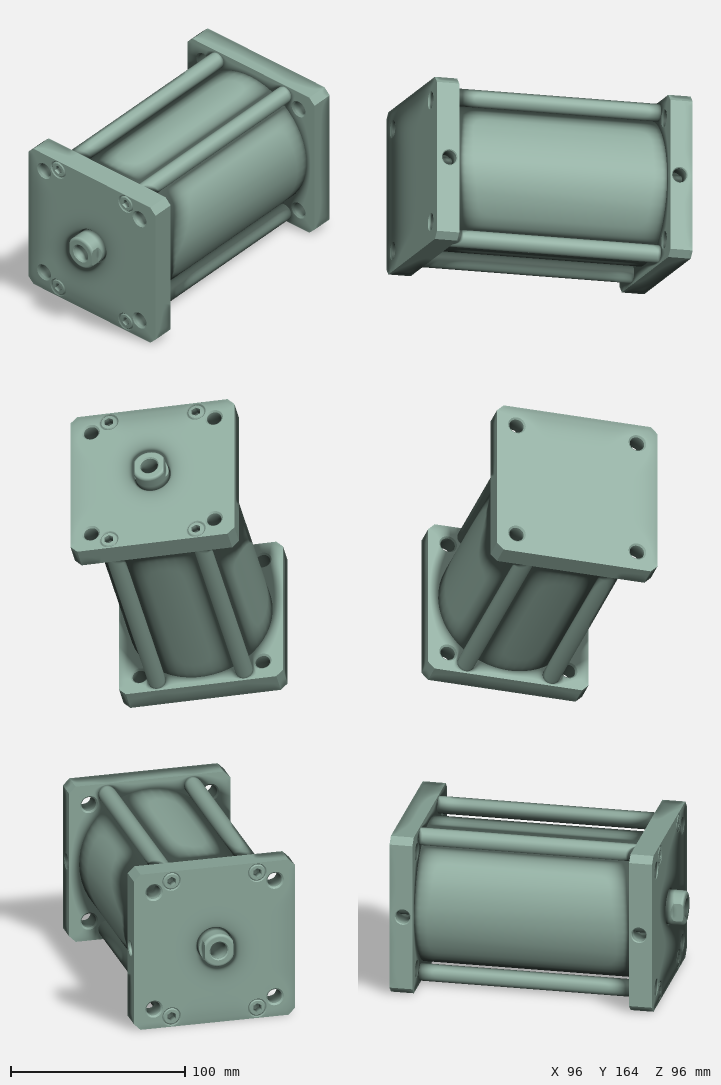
import cadquery as cq
import math


OVERALL_LENGTH = 164.0
ROD_PROTRUSION = 10.0
PLATE_SIZE = 96.0
PLATE_THICKNESS = 13.5
PLATE_CORNER = 4.0

TUBE_DIAMETER = 84.0
TUBE_BORE = 80.0

ROD_DIAMETER = 20.0
ROD_END_FILLET = 1.6
ROD_FLATS_WIDTH = 16.9
ROD_COLLAR_LENGTH = 2.8
ROD_BORE = 10.2
ROD_BORE_CHAMFER = 0.7
ROD_BORE_DEPTH = 19.7
ROD_BORE_TIP_ANGLE = 160.0

ROD_HOLE = 20.7
ROD_HOLE_MOUTH = 22.0

MOUNT_PITCH = 72.0
MOUNT_HOLE = 8.5
MOUNT_COUNTERSINK = 10.5

TIE_PITCH_X = 51.0
TIE_PITCH_Z = 83.5
TIE_SHAFT_DIAMETER = 10.2
TIE_END_DIAMETER = 10.0
TIE_SHAFT_GAP = 0.5
TIE_CHAMFER = 0.7
TIE_COUNTERSINK = 11.3
SOCKET_SIDES = 6
SOCKET_FLATS = 5.0
SOCKET_DEPTH = 5.0
SOCKET_TIP_ANGLE = 118.0

PORT_DIAMETER = 8.4
PORT_COUNTERSINK = 9.5
PORT_FROM_INNER_FACE = 5.7
PORT_DEPTH = 11.5
PORT_TIP_ANGLE = 118.0
PORT_BAR_DIAMETER = 5.0

BODY_LENGTH = OVERALL_LENGTH - ROD_PROTRUSION
FRONT_INNER_Y = PLATE_THICKNESS
REAR_INNER_Y = BODY_LENGTH - PLATE_THICKNESS
FRONT_PORT_Y = FRONT_INNER_Y - PORT_FROM_INNER_FACE
REAR_PORT_Y = REAR_INNER_Y + PORT_FROM_INNER_FACE

PLUS_X = cq.Vector(1, 0, 0)
PLUS_Y = cq.Vector(0, 1, 0)
MINUS_Y = cq.Vector(0, -1, 0)


def cylinder(diameter, start, length, direction=PLUS_Y):
    return cq.Workplane(cq.Solid.makeCylinder(diameter / 2, length, cq.Vector(*start), direction))


def cone(start_diameter, end_diameter, start, length, direction=PLUS_Y):
    solid = cq.Solid.makeCone(start_diameter / 2, end_diameter / 2, length, cq.Vector(*start), direction)
    return cq.Workplane(solid)


def drill_tip(diameter, start, angle, direction=PLUS_Y):
    height = diameter / 2 / math.tan(math.radians(angle / 2))
    return cone(diameter, 0, start, height, direction)


def corner_points(pitch_x, pitch_z):
    return [(sx * pitch_x / 2, sz * pitch_z / 2) for sx in (-1, 1) for sz in (-1, 1)]


MOUNT_POINTS = corner_points(MOUNT_PITCH, MOUNT_PITCH)
TIE_POINTS = corner_points(TIE_PITCH_X, TIE_PITCH_Z)


def countersunk_hole(x, z, y, diameter, mouth, both_ends):
    depth = (mouth - diameter) / 2
    hole = cylinder(diameter, (x, y, z), PLATE_THICKNESS)
    hole = hole.union(cone(mouth, diameter, (x, y, z), depth))
    if both_ends:
        hole = hole.union(cone(mouth, diameter, (x, y + PLATE_THICKNESS, z), depth, MINUS_Y))
    return hole


def port(y):
    side_x = -PLATE_SIZE / 2
    bottom_x = side_x + PORT_DEPTH
    countersink_depth = (PORT_COUNTERSINK - PORT_DIAMETER) / 2
    cut = cylinder(PORT_DIAMETER, (side_x, y, 0), PORT_DEPTH, PLUS_X)
    cut = cut.union(cone(PORT_COUNTERSINK, PORT_DIAMETER, (side_x, y, 0), countersink_depth, PLUS_X))
    cut = cut.union(drill_tip(PORT_DIAMETER, (bottom_x, y, 0), PORT_TIP_ANGLE, PLUS_X))
    bar = cylinder(PORT_BAR_DIAMETER, (bottom_x, y - PORT_DIAMETER / 2, 0), PORT_DIAMETER)
    return cut.cut(bar)


def make_plate(y):
    plate = cq.Workplane("XY").box(PLATE_SIZE, PLATE_THICKNESS, PLATE_SIZE)
    plate = plate.edges("|Y").chamfer(PLATE_CORNER).translate((0, y + PLATE_THICKNESS / 2, 0))
    for x, z in MOUNT_POINTS:
        plate = plate.cut(countersunk_hole(x, z, y, MOUNT_HOLE, MOUNT_COUNTERSINK, True))
    return plate


def make_front_plate():
    plate = make_plate(0).cut(port(FRONT_PORT_Y))
    for x, z in TIE_POINTS:
        plate = plate.cut(countersunk_hole(x, z, 0, TIE_END_DIAMETER, TIE_COUNTERSINK, False))
    return plate.cut(countersunk_hole(0, 0, 0, ROD_HOLE, ROD_HOLE_MOUTH, False))


def make_rear_plate():
    plate = make_plate(REAR_INNER_Y).cut(port(REAR_PORT_Y))
    for x, z in TIE_POINTS:
        plate = plate.cut(cylinder(TIE_END_DIAMETER, (x, REAR_INNER_Y, z), PLATE_THICKNESS))
    return plate


def make_tube():
    length = REAR_INNER_Y - FRONT_INNER_Y
    tube = cylinder(TUBE_DIAMETER, (0, FRONT_INNER_Y, 0), length)
    return tube.cut(cylinder(TUBE_BORE, (0, FRONT_INNER_Y, 0), length))


def make_rod():
    tip_y = -ROD_PROTRUSION
    rod = cylinder(ROD_DIAMETER, (0, tip_y, 0), REAR_INNER_Y - tip_y)
    rod = rod.faces("<Y").edges().fillet(ROD_END_FILLET)
    flat_depth = (ROD_DIAMETER - ROD_FLATS_WIDTH) / 2
    flat_end_y = -ROD_COLLAR_LENGTH - flat_depth
    for side in (-1, 1):
        flat_x = side * ROD_FLATS_WIDTH / 2
        outer_x = side * ROD_DIAMETER / 2
        cutter = (
            cq.Workplane("XY")
            .moveTo(flat_x, tip_y)
            .lineTo(flat_x, flat_end_y)
            .lineTo(outer_x, -ROD_COLLAR_LENGTH)
            .lineTo(outer_x, tip_y)
            .close()
            .extrude(ROD_DIAMETER / 2, both=True)
        )
        rod = rod.cut(cutter)
    mouth = ROD_BORE + 2 * ROD_BORE_CHAMFER
    rod = rod.cut(cylinder(ROD_BORE, (0, tip_y, 0), ROD_BORE_DEPTH))
    rod = rod.cut(cone(mouth, ROD_BORE, (0, tip_y, 0), ROD_BORE_CHAMFER))
    return rod.cut(drill_tip(ROD_BORE, (0, tip_y + ROD_BORE_DEPTH, 0), ROD_BORE_TIP_ANGLE))


def hex_socket():
    half_side_angle = 180 / SOCKET_SIDES
    corner_diameter = SOCKET_FLATS / math.cos(math.radians(half_side_angle))
    hexagon = (
        cq.Workplane("XZ")
        .polygon(SOCKET_SIDES, corner_diameter)
        .extrude(-PLATE_THICKNESS)
        .rotate((0, 0, 0), (0, 1, 0), half_side_angle)
    )
    drilled = cylinder(corner_diameter, (0, 0, 0), SOCKET_DEPTH)
    drilled = drilled.union(drill_tip(corner_diameter, (0, SOCKET_DEPTH, 0), SOCKET_TIP_ANGLE))
    return hexagon.intersect(drilled)


def make_tie_rod(x, z):
    tie = cylinder(TIE_END_DIAMETER, (0, 0, 0), BODY_LENGTH)
    tie = tie.faces("<Y").edges().chamfer(TIE_CHAMFER)
    shaft_length = REAR_INNER_Y - FRONT_INNER_Y - 2 * TIE_SHAFT_GAP
    tie = tie.union(cylinder(TIE_SHAFT_DIAMETER, (0, FRONT_INNER_Y + TIE_SHAFT_GAP, 0), shaft_length))
    return tie.cut(hex_socket()).translate((x, 0, z))


front_plate = make_front_plate()
rear_plate = make_rear_plate()
tube = make_tube()
rod = make_rod()
tie_rods = [make_tie_rod(x, z) for x, z in TIE_POINTS]

result = cq.Compound.makeCompound(
    [
        front_plate.val(),
        rear_plate.val(),
        tube.val(),
        rod.val(),
        *[tie_rod.val() for tie_rod in tie_rods],
    ]
)